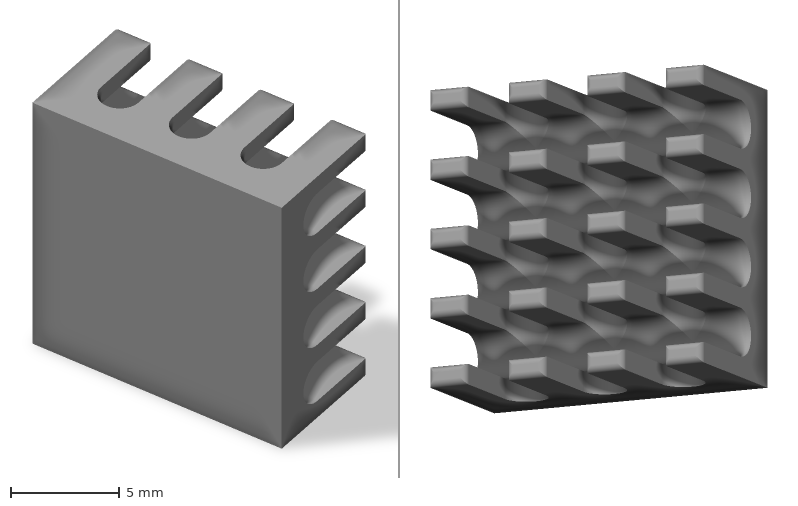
import cadquery as cq

side = 14.0
depth = 7.0
base_thickness = 1.75

columns = 4
rows = 5
pin_width = 1.93
pin_height = 0.97
tip_radius = 0.3

slot_width = (side - columns * pin_width) / (columns - 1)
slot_height = (side - rows * pin_height) / (rows - 1)


def slot_centers(count, pin_size, slot_size):
    """Centres of the slots between `count` evenly spaced pins."""
    first = -side / 2 + pin_size + slot_size / 2
    return [first + i * (pin_size + slot_size) for i in range(count - 1)]


def round_bottom_slot(width):
    """Slot along Z through the whole block, centred on X = 0, with a half-round floor."""
    radius = width / 2
    straight_start = base_thickness + radius
    return (
        cq.Workplane("XY")
        .moveTo(-radius, depth)
        .lineTo(-radius, straight_start)
        .threePointArc((0, base_thickness), (radius, straight_start))
        .lineTo(radius, depth)
        .close()
        .extrude(side / 2, both=True)
    )


block = cq.Workplane("XY").box(side, depth, side, centered=(True, False, True))

column_slot = round_bottom_slot(slot_width)
for x in slot_centers(columns, pin_width, slot_width):
    block = block.cut(column_slot.translate((x, 0, 0)))

row_slot = round_bottom_slot(slot_height).rotate((0, 0, 0), (0, 1, 0), 90)
for z in slot_centers(rows, pin_height, slot_height):
    block = block.cut(row_slot.translate((0, 0, z)))

result = block.faces(">Y").edges().fillet(tip_radius)